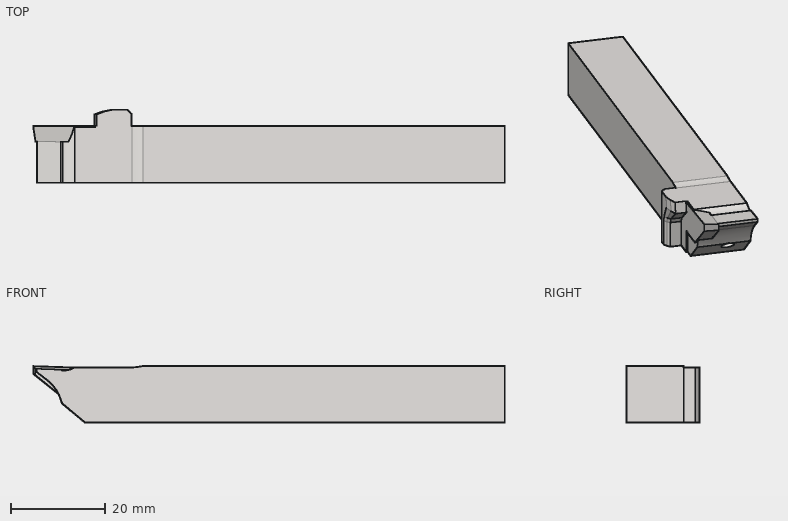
import cadquery as cq
import math

length = 100.0
shank_width = 12.1
shank_height = 12.0
head_width = 11.8
head_top = 11.7
ramp_start = 20.9
ramp_middle = (22.0, 11.8)
ramp_end = 23.2

nose_x = 0.8
nose_floor = 11.4
nose_bottom = 10.7
nose_floor_end = (5.9, 11.2)
step_foot = (6.3, 11.0)
step_middle = (7.7, 11.2)
step_end = 8.8

hollow_start = (3.0, 9.0)
hollow_end = (6.1, 4.1)
heel_x = 11.0

insert_inner_y = 8.7
insert_front_skew = 0.5
insert_end = 13.2
insert_tip_bottom = 10.4
insert_bottom = 4.9
insert_bottom_start = 6.8
insert_inner_drop = 0.6
insert_rake_angle = 2.0

flange_width = 15.5
flange_straight_y = 14.5
flange_bend_y = 15.1
flange_bend_share = 0.45
flange_corner = 0.9
flange_root_y = 11.0

hole_radius = 1.4
hole_y = 4.7
hole_z = 3.2
hole_depth = 1.2
hole_lead = 1.0
hole_rise = math.radians(38)


def make_body():
    """Shank and head, as one side profile."""
    profile = (
        cq.Workplane("XZ")
        .moveTo(nose_x, nose_bottom)
        .lineTo(*hollow_start)
        .tangentArcPoint(hollow_end, relative=False)
        .lineTo(heel_x, 0)
        .lineTo(length, 0)
        .lineTo(length, shank_height)
        .lineTo(ramp_end, shank_height)
        .threePointArc(ramp_middle, (ramp_start, head_top))
        .lineTo(step_end, head_top)
        .threePointArc(step_middle, step_foot)
        .lineTo(*nose_floor_end)
        .lineTo(nose_x, nose_floor)
        .close()
    )
    body = profile.extrude(-shank_width)
    side_relief = cq.Workplane("XY").box(
        insert_end, shank_width - head_width, shank_height, centered=False
    ).translate((0, head_width, 0))
    return body.cut(side_relief)


def make_insert():
    """Insert with front relief, a skewed cutting edge and a tilted rake face."""
    insert = (
        cq.Workplane("XZ", origin=(0, insert_inner_y, 0))
        .polyline([
            (0, insert_tip_bottom),
            (insert_bottom_start, insert_bottom),
            (insert_end, insert_bottom),
            (insert_end, shank_height),
            (0, shank_height),
        ])
        .close()
        .extrude(insert_inner_y - shank_width)
    )
    plan = (
        cq.Workplane("XY")
        .polyline([
            (insert_front_skew, insert_inner_y),
            (insert_end, insert_inner_y),
            (insert_end, shank_width),
            (0, shank_width),
        ])
        .close()
        .extrude(shank_height)
    )
    block_length = 3 * insert_end
    pivot = cq.Vector(0, 0, shank_height)
    below_rake = (
        cq.Workplane("YZ", origin=(-insert_end, 0, 0))
        .polyline([
            (insert_inner_y, 0),
            (shank_width, 0),
            (shank_width, shank_height),
            (insert_inner_y, shank_height - insert_inner_drop),
        ])
        .close()
        .extrude(block_length)
        .rotate(pivot, pivot + cq.Vector(0, 1, 0), insert_rake_angle)
    )
    return insert.intersect(plan).intersect(below_rake)


def flange_section(share):
    """Flange side profile, with its front set back by a share of the full amount."""
    front_edge = [
        (13.5, 3.4, head_top),
        (13.0, 3.6, 9.3),
        (16.5, 1.7, 6.6),
        (16.9, 1.5, 5.6),
        (16.9, 1.5, 0),
    ]
    front = [(x + share * set_back, z) for x, set_back, z in front_edge]
    return [(ramp_start, head_top)] + front + [(ramp_start, 0)]


def flange_slice(y_start, y_end, share_start, share_end):
    """Part of the flange between two widths, with straight faces between its ends."""
    return (
        cq.Workplane("XZ", origin=(0, y_start, 0))
        .polyline(flange_section(share_start))
        .close()
        .workplane(offset=y_start - y_end)
        .polyline(flange_section(share_end))
        .close()
        .loft(ruled=True)
    )


def make_flange():
    flange = flange_slice(flange_root_y, flange_straight_y, 0, 0)
    flange = flange.union(flange_slice(flange_straight_y, flange_bend_y, 0, flange_bend_share))
    flange = flange.union(flange_slice(flange_bend_y, flange_width, flange_bend_share, 1))
    return flange.edges("|Z and >X and >Y").chamfer(flange_corner)


def make_hole():
    """Shallow flat-bottomed hole, rising into the lower slope."""
    end_x, end_z = hollow_end
    mouth = cq.Vector(end_x + (heel_x - end_x) * (1 - hole_z / end_z), hole_y, hole_z)
    inward = cq.Vector(math.cos(hole_rise), 0, math.sin(hole_rise))
    start = mouth - inward * hole_lead
    return cq.Workplane(cq.Solid.makeCylinder(hole_radius, hole_lead + hole_depth, start, inward))


result = make_body().union(make_insert()).union(make_flange()).cut(make_hole())